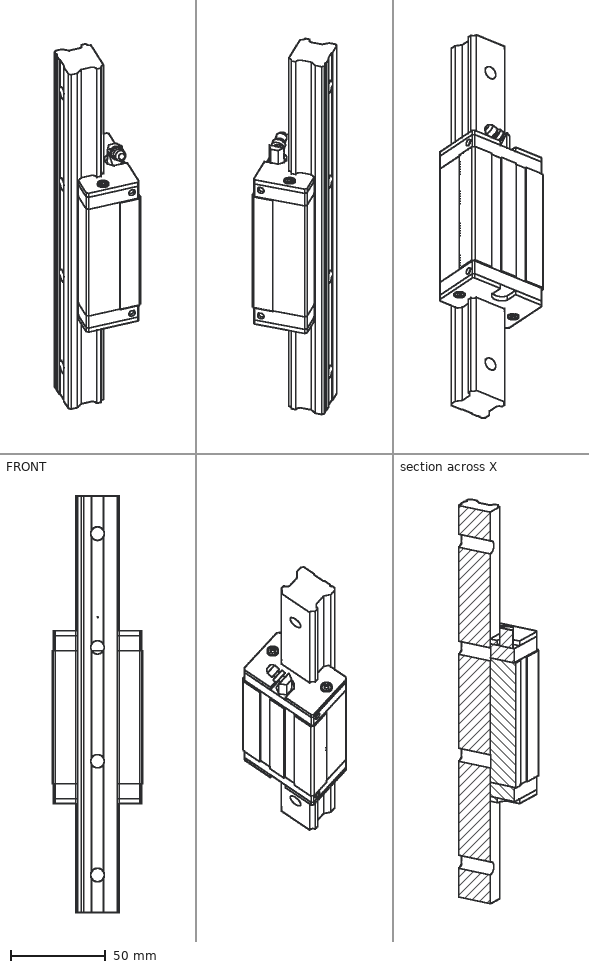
import cadquery as cq
import math

RAIL_LENGTH = 220.0
RAIL_HALF_WIDTH = 11.5
RAIL_HEIGHT = 20.2
RAIL_HALF_WAIST = 9.0
RAIL_HALF_TOP = 9.5
RAIL_BASE_CHAMFER = 1.0
RAIL_FOOT_Y = 4.6
RAIL_WAIST_Y = 7.7
RAIL_NECK_Y = 13.6
RAIL_HEAD_Y = 15.6
RAIL_SHOULDER_Y = 18.0
TRACK_HOLLOW = 0.55
BASE_GROOVE_WIDTH = 6.0
BASE_GROOVE_DEPTH = 0.5
MARK_GROOVE_X = -8.0
MARK_GROOVE_WIDTH = 1.0
MARK_GROOVE_DEPTH = 0.5
RAIL_HOLE_DIAMETER = 7.0
RAIL_HOLE_COUNT = 4
RAIL_HOLE_PITCH = 60.0

CARRIAGE_Z = 103.2
CARRIAGE_BOTTOM_Y = 5.5
BLOCK_LENGTH = 70.2
BLOCK_HALF_WIDTH = 24.0
BLOCK_TOP_Y = 36.0
BLOCK_STEP_Y = 24.2
BLOCK_TOP_CHAMFER = 1.3
TOP_GROOVE_WIDTH = 6.8
TOP_GROOVE_X = 8.1
CAP_LENGTH = 8.0
CAP_HALF_WIDTH = 23.3
CAP_TOP_Y = 35.2
CAP_TOP_CHAMFER = 0.9
BOTTOM_CHAMFER = 1.0
PLATE_THICKNESS = 2.6

PORT_DIAMETER = 3.5
PORT_DEPTH = 1.8
PORT_Y = 31.0
PORT_Z = 4.6

SCREW_X = 18.0
SCREW_Y = 16.7
SCREW_RING_DIAMETER = 6.0
SCREW_HEAD_DIAMETER = 5.0
SCREW_RING_DEPTH = 0.7
SOCKET_WIDTH = 2.5
SOCKET_DEPTH = 1.3

NIPPLE_Y = 30.1
SLOT_DIAMETER = 11.0
SLOT_WIDTH = 10.1
HEX_WIDTH = 7.3
HEX_HEIGHT = 10.1
NOZZLE_ELEVATION = 20.0
NOZZLE_OFFSET = 2.2
STEM_DIAMETER = 3.5
COLLAR_DIAMETER = 7.0
NECK_DIAMETER = 3.5
HEAD_DIAMETER = 5.7
TIP_DIAMETER = 3.3
COLLAR_START = 1.5
COLLAR_END = 3.7
HEAD_START = 5.0
HEAD_END = 8.4
TIP_END = 10.1

HEX_SIDES = 6
BLOCK_END_Z = BLOCK_LENGTH / 2
CAP_END_Z = BLOCK_END_Z + CAP_LENGTH
HEX_CORNER_RATIO = 2 / math.sqrt(3)


def symmetric_profile(right_side):
    left_side = [(-x, y) for x, y in reversed(right_side)]
    return cq.Workplane("XY").polyline(right_side + left_side).close()


def rail_bar():
    """Rail without grooves or holes: one half with its two hollow ball tracks, mirrored about X = 0."""
    right_half = (
        cq.Workplane("XY")
        .moveTo(0, 0)
        .lineTo(RAIL_HALF_WIDTH - RAIL_BASE_CHAMFER, 0)
        .lineTo(RAIL_HALF_WIDTH, RAIL_BASE_CHAMFER)
        .lineTo(RAIL_HALF_WIDTH, RAIL_FOOT_Y)
        .lineTo(RAIL_HALF_WAIST, RAIL_WAIST_Y)
        .lineTo(RAIL_HALF_WAIST, RAIL_NECK_Y)
        .sagittaArc((RAIL_HALF_WIDTH, RAIL_HEAD_Y), TRACK_HOLLOW)
        .lineTo(RAIL_HALF_WIDTH, RAIL_SHOULDER_Y)
        .sagittaArc((RAIL_HALF_TOP, RAIL_HEIGHT), TRACK_HOLLOW)
        .lineTo(0, RAIL_HEIGHT)
        .close()
        .extrude(RAIL_LENGTH)
    )
    return right_half.union(right_half.mirror("YZ")).clean()


def make_rail():
    rail = rail_bar()
    base_groove = symmetric_profile([
        (BASE_GROOVE_WIDTH / 2 + BASE_GROOVE_DEPTH, 0),
        (BASE_GROOVE_WIDTH / 2, BASE_GROOVE_DEPTH),
    ]).extrude(RAIL_LENGTH)
    mark_groove = (
        cq.Workplane("XY")
        .center(MARK_GROOVE_X, 0)
        .rect(MARK_GROOVE_WIDTH, 2 * MARK_GROOVE_DEPTH)
        .extrude(RAIL_LENGTH)
    )
    holes = (
        cq.Workplane("XZ", origin=(0, 0, RAIL_LENGTH / 2))
        .rarray(2.2, RAIL_HOLE_PITCH, 1, RAIL_HOLE_COUNT)
        .circle(RAIL_HOLE_DIAMETER / 2)
        .extrude(-RAIL_HEIGHT)
    )
    return rail.cut(base_groove).cut(mark_groove).cut(holes)


def fit_around_rail(body):
    """Cut the rail's profile out of a carriage body built around Z = 0."""
    return body.cut(rail_bar().translate((0, 0, -RAIL_LENGTH / 2)))


def make_block():
    block = symmetric_profile([
        (CAP_HALF_WIDTH - BOTTOM_CHAMFER, CARRIAGE_BOTTOM_Y),
        (CAP_HALF_WIDTH, CARRIAGE_BOTTOM_Y + BOTTOM_CHAMFER),
        (CAP_HALF_WIDTH, BLOCK_STEP_Y),
        (BLOCK_HALF_WIDTH, BLOCK_STEP_Y),
        (BLOCK_HALF_WIDTH, BLOCK_TOP_Y - BLOCK_TOP_CHAMFER),
        (BLOCK_HALF_WIDTH - BLOCK_TOP_CHAMFER, BLOCK_TOP_Y),
    ]).extrude(BLOCK_END_Z, both=True)
    top_grooves = (
        cq.Workplane("XY")
        .pushPoints([(-TOP_GROOVE_X, BLOCK_TOP_Y), (TOP_GROOVE_X, BLOCK_TOP_Y)])
        .rect(TOP_GROOVE_WIDTH, 2 * (BLOCK_TOP_Y - CAP_TOP_Y))
        .extrude(BLOCK_END_Z, both=True)
    )
    return fit_around_rail(block.cut(top_grooves))


def end_piece(start_z, length):
    piece = symmetric_profile([
        (CAP_HALF_WIDTH - BOTTOM_CHAMFER, CARRIAGE_BOTTOM_Y),
        (CAP_HALF_WIDTH, CARRIAGE_BOTTOM_Y + BOTTOM_CHAMFER),
        (CAP_HALF_WIDTH, CAP_TOP_Y - CAP_TOP_CHAMFER),
        (CAP_HALF_WIDTH - CAP_TOP_CHAMFER, CAP_TOP_Y),
    ]).extrude(length)
    return fit_around_rail(piece.translate((0, 0, start_z)))


def make_end_cap():
    cap = end_piece(BLOCK_END_Z, CAP_LENGTH)
    for side in (-1, 1):
        port_floor_x = side * (CAP_HALF_WIDTH - PORT_DEPTH)
        port = (
            cq.Workplane("YZ", origin=(port_floor_x, PORT_Y, BLOCK_END_Z + PORT_Z))
            .circle(PORT_DIAMETER / 2)
            .extrude(side * PORT_DEPTH)
        )
        cap = cap.cut(port)
    return cap


def nipple_slot():
    """Slot through the plate with an arc bottom and an open top."""
    half_width = SLOT_WIDTH / 2
    radius = SLOT_DIAMETER / 2
    arc_start_y = NIPPLE_Y - math.sqrt(radius**2 - half_width**2)
    return (
        cq.Workplane("XY", origin=(0, 0, CAP_END_Z))
        .moveTo(-half_width, CAP_TOP_Y)
        .lineTo(-half_width, arc_start_y)
        .threePointArc((0, NIPPLE_Y - radius), (half_width, arc_start_y))
        .lineTo(half_width, CAP_TOP_Y)
        .close()
        .extrude(PLATE_THICKNESS)
    )


def make_seal_plate():
    plate = end_piece(CAP_END_Z, PLATE_THICKNESS).cut(nipple_slot())
    outer_face = cq.Workplane("XY", origin=(0, 0, CAP_END_Z + PLATE_THICKNESS))
    screw_points = [(-SCREW_X, SCREW_Y), (SCREW_X, SCREW_Y)]
    rings = (
        outer_face.pushPoints(screw_points)
        .circle(SCREW_RING_DIAMETER / 2)
        .circle(SCREW_HEAD_DIAMETER / 2)
        .extrude(-SCREW_RING_DEPTH)
    )
    sockets = (
        outer_face.pushPoints(screw_points)
        .polygon(HEX_SIDES, SOCKET_WIDTH * HEX_CORNER_RATIO)
        .extrude(-SOCKET_DEPTH)
    )
    return plate.cut(rings).cut(sockets)


def make_nipple():
    """Elbow nipple: a hexagon standing on the cap, with a nozzle square to its sloped side."""
    hexagon = (
        cq.Workplane("XY")
        .transformed(rotate=(0, 0, 90))
        .polygon(HEX_SIDES, HEX_WIDTH * HEX_CORNER_RATIO)
        .extrude(HEX_HEIGHT)
    )
    angle = math.radians(NOZZLE_ELEVATION)
    slope = cq.Plane(
        origin=(0, 0, HEX_HEIGHT),
        xDir=(math.cos(angle), 0, math.sin(angle)),
        normal=(0, -1, 0),
    )
    beyond_slope = (
        cq.Workplane(slope)
        .center(HEX_HEIGHT / 2, 0)
        .rect(HEX_HEIGHT, 4 * HEX_HEIGHT)
        .extrude(HEX_WIDTH, both=True)
    )
    nozzle = (
        cq.Workplane(slope)
        .center(0, -NOZZLE_OFFSET)
        .polyline([
            (0, 0),
            (0, STEM_DIAMETER / 2),
            (COLLAR_START, STEM_DIAMETER / 2),
            (COLLAR_START, COLLAR_DIAMETER / 2),
            (COLLAR_END, COLLAR_DIAMETER / 2),
            (COLLAR_END, NECK_DIAMETER / 2),
            (HEAD_START, NECK_DIAMETER / 2),
            (HEAD_START, HEAD_DIAMETER / 2),
            (HEAD_END, HEAD_DIAMETER / 2),
            (TIP_END, TIP_DIAMETER / 2),
            (TIP_END, 0),
        ])
        .close()
        .revolve(360, (0, 0, 0), (1, 0, 0))
    )
    nipple = hexagon.cut(beyond_slope).union(nozzle)
    return nipple.translate((0, NIPPLE_Y, CAP_END_Z))


def on_carriage(body):
    return body.translate((0, 0, CARRIAGE_Z)).val()


def both_ends(body):
    return [on_carriage(body), on_carriage(body.mirror("XY"))]


rail = make_rail()
block = make_block()
end_caps = both_ends(make_end_cap())
seal_plates = both_ends(make_seal_plate())
nipple = make_nipple()

result = cq.Compound.makeCompound([
    rail.val(),
    on_carriage(block),
    *end_caps,
    *seal_plates,
    on_carriage(nipple),
])